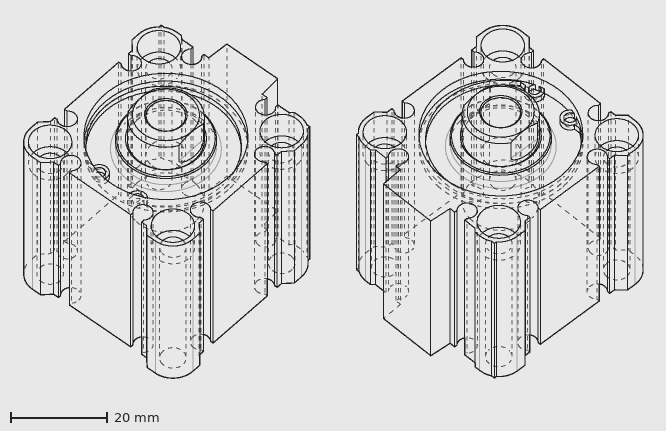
import cadquery as cq
import math

HOUSING_HEIGHT = 43.0
SIDE_WALL = 20.6
BACK_WALL = 21.75
POST_REACH = 22.5
BOLT_OFFSET = 17.0
BOLT_HOLE_DIAMETER = 5.5
BOLT_RECESS_DIAMETER = 9.0
BOLT_RECESS_DEPTH = 7.0
POST_FACE_END = 14.75
BACK_POST_FACE_END = 15.6

PORT_BLOCK_REACH = 27.0
PORT_BLOCK_ROOT_WIDTH = 14.8
PORT_BLOCK_TIP_WIDTH = 14.1

SLOT_RADIUS = 2.1
SLOT_MOUTH_WIDTH = 3.0
SLOT_AXIS_DEPTH = 2.15
SLOT_SPACING = 10.0
BACK_SLOT_SPACING = 10.25

RECESS_RADIUS = 17.0
RECESS_FLOOR = 39.0
GUIDE_RADIUS = 10.5
GUIDE_TOP = 42.3
GUIDE_ROOT_FILLET = 1.0
GUIDE_CHAMFER = 0.3
GUIDE_MOUTH_CHAMFER = 0.4

RING_TOP = 40.5
RING_INNER_RADIUS = 16.15
RING_OFFSET = 0.75
LUG_X = 5.3
LUG_Y = -14.85
LUG_RADIUS = 2.1
LUG_HOLE_RADIUS = 1.3
LUG_SHOULDER_Y = -14.25

ROD_RADIUS = 8.0
ROD_TOP = 50.0
ROD_BOTTOM = HOUSING_HEIGHT / 2
ROD_CHAMFER_WIDTH = 1.05
ROD_CHAMFER_HEIGHT = 0.85
FLAT_HALF_WIDTH = 7.0
FLAT_BOTTOM = 43.15
ROD_HOLE_RADIUS = 4.1
ROD_HOLE_DEPTH = 13.0
ROD_HOLE_CHAMFER = 0.3


def cylinder(radius, bottom, top, x=0.0, y=0.0):
    """Upright cylinder between two heights."""
    return cq.Workplane("XY", origin=(x, y, bottom)).circle(radius).extrude(top - bottom)


def block(x_min, x_max, y_min, y_max, bottom, top):
    """Box given by its limits."""
    box = cq.Workplane("XY").box(x_max - x_min, y_max - y_min, top - bottom, centered=False)
    return box.translate((x_min, y_min, bottom))


def corner_post(x_sign, y_sign, wall, face_end):
    """Rounded corner post; wall and face_end belong to the side that points along Y."""
    round_radius = POST_REACH - BOLT_OFFSET
    arc_middle = BOLT_OFFSET + round_radius * math.sqrt(0.5)
    y_bevel = POST_REACH - wall
    x_bevel = POST_REACH - SIDE_WALL
    inner = POST_FACE_END - x_bevel

    def at(x, y):
        return (x_sign * x, y_sign * y)

    return (
        cq.Workplane("XY")
        .moveTo(*at(inner, inner))
        .lineTo(*at(face_end - y_bevel, wall))
        .lineTo(*at(face_end, POST_REACH))
        .lineTo(*at(BOLT_OFFSET, POST_REACH))
        .threePointArc(at(arc_middle, arc_middle), at(POST_REACH, BOLT_OFFSET))
        .lineTo(*at(POST_REACH, POST_FACE_END))
        .lineTo(*at(SIDE_WALL, inner))
        .close()
        .extrude(HOUSING_HEIGHT)
    )


def port_block():
    """Tapered block on the back wall, as tall as the housing."""
    root = PORT_BLOCK_ROOT_WIDTH / 2
    tip = PORT_BLOCK_TIP_WIDTH / 2
    outline = [(-root, 0), (-root, BACK_WALL), (-tip, PORT_BLOCK_REACH),
               (tip, PORT_BLOCK_REACH), (root, BACK_WALL), (root, 0)]
    return cq.Workplane("XY").polyline(outline).close().extrude(HOUSING_HEIGHT)


def sensor_slot(wall, offset, angle):
    """Keyhole slot in the wall that faces the given direction, shifted sideways by offset."""
    axis = wall - SLOT_AXIS_DEPTH
    half_mouth = SLOT_MOUTH_WIDTH / 2
    channel = cylinder(SLOT_RADIUS, 0, HOUSING_HEIGHT, axis, offset)
    mouth = block(axis, wall, offset - half_mouth, offset + half_mouth, 0, HOUSING_HEIGHT)
    return channel.union(mouth).rotate((0, 0, 0), (0, 0, 1), angle)


def rod_guide():
    """Raised collar around the rod, with a rounded root and a chamfered rim."""
    root_radius = GUIDE_RADIUS + GUIDE_ROOT_FILLET
    fillet_top = RECESS_FLOOR + GUIDE_ROOT_FILLET
    to_middle = GUIDE_ROOT_FILLET * (1 - math.sqrt(0.5))
    profile = (
        cq.Workplane("XZ")
        .moveTo(0, RECESS_FLOOR)
        .lineTo(root_radius, RECESS_FLOOR)
        .threePointArc((GUIDE_RADIUS + to_middle, RECESS_FLOOR + to_middle), (GUIDE_RADIUS, fillet_top))
        .lineTo(GUIDE_RADIUS, GUIDE_TOP - GUIDE_CHAMFER)
        .lineTo(GUIDE_RADIUS - GUIDE_CHAMFER, GUIDE_TOP)
        .lineTo(0, GUIDE_TOP)
        .close()
    )
    return profile.revolve(360, (0, 0, 0), (0, 1, 0))


def rod_bore():
    """Space for the rod, with a chamfered mouth in the top of the guide."""
    mouth_radius = ROD_RADIUS + GUIDE_MOUTH_CHAMFER
    outline = [(0, ROD_BOTTOM), (ROD_RADIUS, ROD_BOTTOM), (ROD_RADIUS, GUIDE_TOP - GUIDE_MOUTH_CHAMFER),
               (mouth_radius, GUIDE_TOP), (0, GUIDE_TOP)]
    return cq.Workplane("XZ").polyline(outline).close().revolve(360, (0, 0, 0), (0, 1, 0))


def make_housing():
    body = block(-SIDE_WALL, SIDE_WALL, -SIDE_WALL, BACK_WALL, 0, HOUSING_HEIGHT)
    body = body.union(port_block())
    for x_sign in (-1, 1):
        body = body.union(corner_post(x_sign, 1, BACK_WALL, BACK_POST_FACE_END))
        body = body.union(corner_post(x_sign, -1, SIDE_WALL, POST_FACE_END))

    for side in (-1, 1):
        body = body.cut(sensor_slot(BACK_WALL, side * BACK_SLOT_SPACING, 90))
        for angle in (0, 180, 270):
            body = body.cut(sensor_slot(SIDE_WALL, side * SLOT_SPACING, angle))

    bolt_points = [(x * BOLT_OFFSET, y * BOLT_OFFSET) for x in (-1, 1) for y in (-1, 1)]
    for x, y in bolt_points:
        body = body.cut(cylinder(BOLT_HOLE_DIAMETER / 2, 0, HOUSING_HEIGHT, x, y))
        recess_bottom = HOUSING_HEIGHT - BOLT_RECESS_DEPTH
        body = body.cut(cylinder(BOLT_RECESS_DIAMETER / 2, recess_bottom, HOUSING_HEIGHT, x, y))

    body = body.cut(cylinder(RECESS_RADIUS, RECESS_FLOOR, HOUSING_HEIGHT))
    return body.union(rod_guide()).cut(rod_bore())


def make_snap_ring():
    """Open ring on the recess floor; two lugs with plier holes stand beside its gap."""
    disc = cylinder(RECESS_RADIUS, RECESS_FLOOR, RING_TOP)
    ring = disc.cut(cylinder(RING_INNER_RADIUS, RECESS_FLOOR, RING_TOP, 0, -RING_OFFSET))
    ring = ring.cut(block(-LUG_X, LUG_X, -RECESS_RADIUS, 0, RECESS_FLOOR, RING_TOP))
    for side in (-1, 1):
        lug = cylinder(LUG_RADIUS, RECESS_FLOOR, RING_TOP, side * LUG_X, LUG_Y)
        x_limits = sorted((side * LUG_X, side * RECESS_RADIUS))
        shoulder = block(*x_limits, -RECESS_RADIUS, LUG_SHOULDER_Y, RECESS_FLOOR, RING_TOP)
        ring = ring.union(lug.union(shoulder).intersect(disc))
        ring = ring.cut(cylinder(LUG_HOLE_RADIUS, RECESS_FLOOR, RING_TOP, side * LUG_X, LUG_Y))
    return ring


def wrench_flat(side):
    """Cutter for one wrench flat; its lower end curves out to the rod surface."""
    run_out = ROD_RADIUS - FLAT_HALF_WIDTH
    to_middle = run_out * (1 - math.sqrt(0.5))
    arc_middle = (side * (FLAT_HALF_WIDTH + to_middle), FLAT_BOTTOM + to_middle)
    return (
        cq.Workplane("XZ")
        .moveTo(side * FLAT_HALF_WIDTH, ROD_TOP)
        .lineTo(side * FLAT_HALF_WIDTH, FLAT_BOTTOM + run_out)
        .threePointArc(arc_middle, (side * ROD_RADIUS, FLAT_BOTTOM))
        .lineTo(side * ROD_RADIUS, ROD_TOP)
        .close()
        .extrude(ROD_RADIUS, both=True)
    )


def make_rod():
    hole_mouth = ROD_HOLE_RADIUS + ROD_HOLE_CHAMFER
    hole_bottom = ROD_TOP - ROD_HOLE_DEPTH
    outline = [
        (0, ROD_BOTTOM),
        (ROD_RADIUS, ROD_BOTTOM),
        (ROD_RADIUS, ROD_TOP - ROD_CHAMFER_HEIGHT),
        (ROD_RADIUS - ROD_CHAMFER_WIDTH, ROD_TOP),
        (hole_mouth, ROD_TOP),
        (ROD_HOLE_RADIUS, ROD_TOP - ROD_HOLE_CHAMFER),
        (ROD_HOLE_RADIUS, hole_bottom),
        (0, hole_bottom),
    ]
    rod = cq.Workplane("XZ").polyline(outline).close().revolve(360, (0, 0, 0), (0, 1, 0))
    for side in (-1, 1):
        rod = rod.cut(wrench_flat(side))
    return rod


housing = make_housing()
snap_ring = make_snap_ring()
rod = make_rod()

result = cq.Compound.makeCompound([housing.val(), snap_ring.val(), rod.val()])